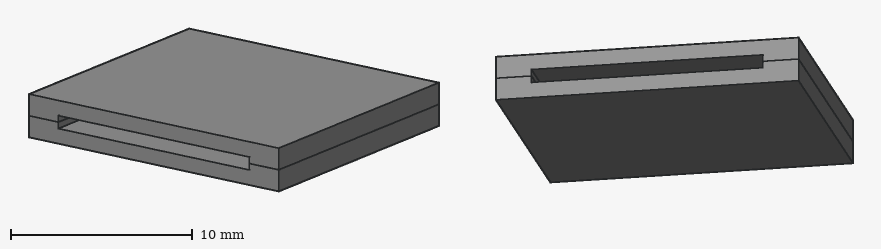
import cadquery as cq

length = 17.0
depth = 15.0
height = 2.5

slot_width = 13.0
slot_height = 0.75

half_height = height / 2
recess_depth = slot_height / 2


def lower_half():
    """Plate below the parting plane Z = 0, with a channel along Y in its top face."""
    plate = cq.Workplane("XY").box(length, depth, half_height, centered=(True, True, False))
    plate = plate.translate((0, 0, -half_height))
    channel = cq.Workplane("XY").box(slot_width, depth, slot_height)
    return plate.cut(channel)


lower_shell = lower_half()
upper_shell = lower_half().mirror("XY")

result = cq.Compound.makeCompound([lower_shell.val(), upper_shell.val()])